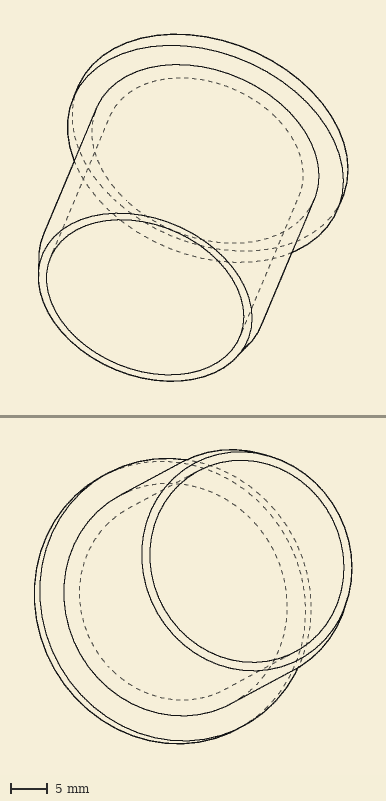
import cadquery as cq

flange_diameter = 38.9
body_diameter = 32.0
nose_diameter = 30.15
bore_diameter = 27.8

total_length = 32.0
flange_thickness = 2.35
nose_length = 3.5
floor_thickness = flange_thickness
floor_fillet_radius = 0.5

open_end = -total_length / 2
closed_end = total_length / 2
nose_end = open_end + nose_length
flange_face = closed_end - flange_thickness
floor_face = closed_end - floor_thickness

bore_radius = bore_diameter / 2
half_section = (
    cq.Workplane("XY")
    .moveTo(0, closed_end)
    .lineTo(flange_diameter / 2, closed_end)
    .lineTo(flange_diameter / 2, flange_face)
    .lineTo(body_diameter / 2, flange_face)
    .lineTo(body_diameter / 2, nose_end)
    .lineTo(nose_diameter / 2, open_end)
    .lineTo(bore_radius, open_end)
    .lineTo(bore_radius, floor_face - floor_fillet_radius)
    .tangentArcPoint((bore_radius - floor_fillet_radius, floor_face), relative=False)
    .lineTo(0, floor_face)
    .close()
)

result = half_section.revolve(360, (0, 0, 0), (0, 1, 0))